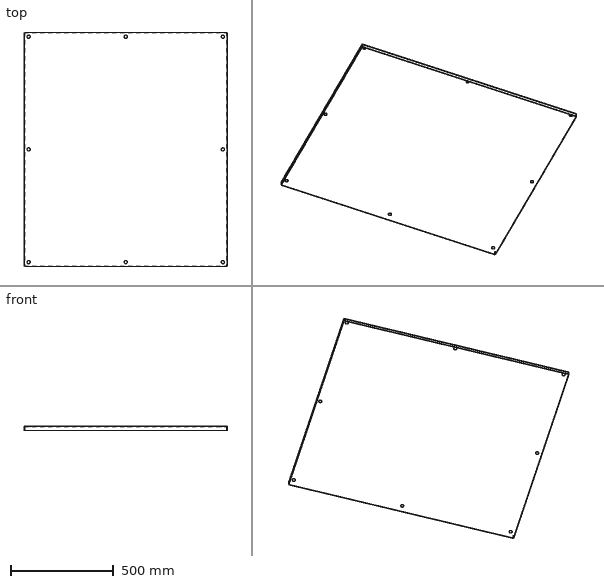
import cadquery as cq

width = 991.0
length = 1143.0
height = 22.0

sheet_thickness = 3.0
bend_radius = 4.0
bend_inner_radius = bend_radius - sheet_thickness

corner_relief = bend_radius

hole_diameter = 15.0
hole_inset = 22.0


def rounded_block(size_x, size_y, size_z, top_radius):
    """Block standing on Z = 0 with its upper rim rounded."""
    block = cq.Workplane("XY").box(size_x, size_y, size_z, centered=(True, True, False))
    return block.faces(">Z").edges().fillet(top_radius)


def make_tray():
    """Flat sheet with four flanges folded down, open underneath."""
    outside = rounded_block(width, length, height, bend_radius)
    inside = rounded_block(
        width - 2 * sheet_thickness,
        length - 2 * sheet_thickness,
        height - sheet_thickness,
        bend_inner_radius,
    )
    return outside.cut(inside)


def make_corner_reliefs():
    """Square posts that cut away the four corners over the full height."""
    return (
        cq.Workplane("XY")
        .rect(width, length, forConstruction=True)
        .vertices()
        .rect(2 * corner_relief, 2 * corner_relief)
        .extrude(height)
    )


def make_holes():
    """Through holes at the corners and side midpoints of a rectangle."""
    half_x = width / 2 - hole_inset
    half_y = length / 2 - hole_inset
    positions = [
        (column * half_x, row * half_y)
        for column in (-1, 0, 1)
        for row in (-1, 0, 1)
        if (column, row) != (0, 0)
    ]
    return cq.Workplane("XY").pushPoints(positions).circle(hole_diameter / 2).extrude(height)


result = make_tray().cut(make_corner_reliefs()).cut(make_holes())